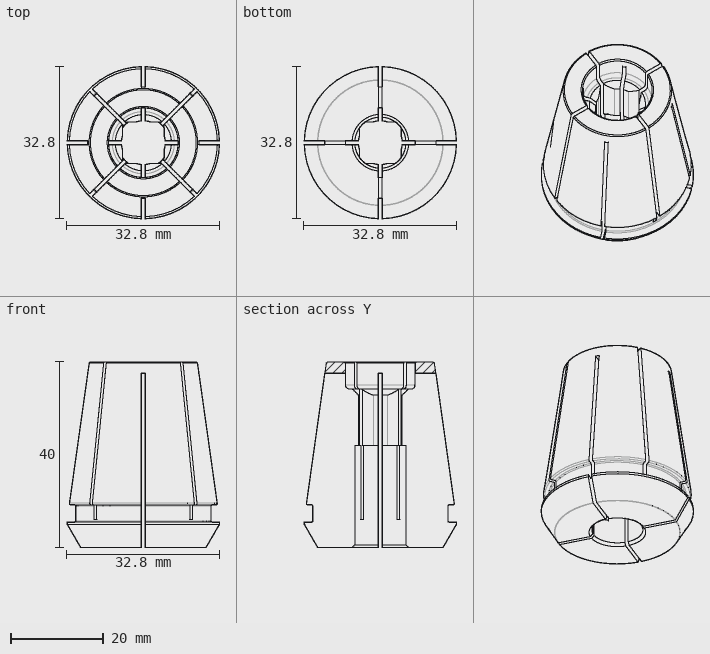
import cadquery as cq
import math

LENGTH = 40.0

FLANGE_RADIUS = 16.4
FLANGE_TOP = 5.5
FLANGE_RIM_HEIGHT = 0.5
FLANGE_CONE_ANGLE = 30.0
FLANGE_BASE_FILLET = 0.1
FLANGE_CONE_HEIGHT = FLANGE_TOP - FLANGE_RIM_HEIGHT
FLANGE_BASE_RADIUS = FLANGE_RADIUS - FLANGE_CONE_HEIGHT * math.tan(math.radians(FLANGE_CONE_ANGLE))

GROOVE_RADIUS = 14.6
GROOVE_TOP = 9.2
GROOVE_FILLET = 0.25

TAPER_ANGLE = 8.0
TAPER_TOP_RADIUS = 11.65
TAPER_BASE_RADIUS = TAPER_TOP_RADIUS + (LENGTH - GROOVE_TOP) * math.tan(math.radians(TAPER_ANGLE))
TAPER_BASE_FILLET = 0.3
TOP_EDGE_CHAMFER = 0.25

RELIEF_RADIUS = 7.5
RELIEF_FLOOR = 34.15
RELIEF_FLOOR_FILLET = 0.8
RELIEF_MOUTH_CHAMFER = 0.3

LEAD_RADIUS = 6.05
LEAD_POINT_ANGLE = 90.0
LEAD_DEPTH = LEAD_RADIUS / math.tan(math.radians(LEAD_POINT_ANGLE / 2))

SHANK_RADIUS = 5.5
SHANK_DEPTH = 22.0
SHANK_MOUTH_CHAMFER = 0.6
SQUARE_SIZE = 8.9
SQUARE_PILOT_RADIUS = 4.7

SLOT_WIDTH = 0.8
AXIS_SLOT_ANGLES = (0, 90)
AXIS_SLOT_TOP = 37.5
DIAGONAL_SLOT_ANGLES = (45, 135)
DIAGONAL_SLOT_BOTTOM = 6.0
SLOT_OVERRUN = 5.0
SLOT_LENGTH = 2 * (FLANGE_RADIUS + SLOT_OVERRUN)


def cylinder(radius, bottom, top):
    return cq.Workplane("XY").workplane(offset=bottom).circle(radius).extrude(top - bottom)


def flange():
    outline = (
        cq.Workplane("XZ")
        .moveTo(0, 0)
        .lineTo(FLANGE_BASE_RADIUS, 0)
        .lineTo(FLANGE_RADIUS, FLANGE_CONE_HEIGHT)
        .lineTo(FLANGE_RADIUS, FLANGE_TOP)
        .lineTo(0, FLANGE_TOP)
        .close()
    )
    disc = outline.revolve(360, (0, 0), (0, 1))
    return disc.faces("<Z").edges().fillet(FLANGE_BASE_FILLET)


def taper():
    outline = (
        cq.Workplane("XZ")
        .moveTo(0, GROOVE_TOP)
        .lineTo(TAPER_BASE_RADIUS, GROOVE_TOP)
        .lineTo(TAPER_TOP_RADIUS, LENGTH)
        .lineTo(0, LENGTH)
        .close()
    )
    cone = outline.revolve(360, (0, 0), (0, 1))
    cone = cone.faces("<Z").edges().fillet(TAPER_BASE_FILLET)
    return cone.faces(">Z").edges().chamfer(TOP_EDGE_CHAMFER)


def nut_groove_core():
    core = cylinder(GROOVE_RADIUS, FLANGE_TOP, GROOVE_TOP)
    for wall_height, direction in ((FLANGE_TOP, 1), (GROOVE_TOP, -1)):
        core = core.union(groove_corner(wall_height, direction))
    return core


def groove_corner(wall_height, direction):
    """Concave fillet ring joining the groove floor to the wall at wall_height."""
    tangent_height = wall_height + direction * GROOVE_FILLET
    wall_radius = GROOVE_RADIUS + GROOVE_FILLET
    arc_reach = GROOVE_FILLET * (1 - math.sqrt(0.5))
    outline = (
        cq.Workplane("XZ")
        .moveTo(0, wall_height)
        .lineTo(wall_radius, wall_height)
        .threePointArc(
            (GROOVE_RADIUS + arc_reach, wall_height + direction * arc_reach),
            (GROOVE_RADIUS, tangent_height),
        )
        .lineTo(0, tangent_height)
        .close()
    )
    return outline.revolve(360, (0, 0), (0, 1))


def body():
    return flange().union(nut_groove_core()).union(taper())


def relief_bore():
    bore = cylinder(RELIEF_RADIUS, RELIEF_FLOOR, LENGTH)
    bore = bore.faces("<Z").edges().fillet(RELIEF_FLOOR_FILLET)
    mouth = cq.Workplane(
        cq.Solid.makeCone(
            RELIEF_RADIUS,
            RELIEF_RADIUS + RELIEF_MOUTH_CHAMFER,
            RELIEF_MOUTH_CHAMFER,
            cq.Vector(0, 0, LENGTH - RELIEF_MOUTH_CHAMFER),
        )
    )
    return bore.union(mouth)


def square_lead():
    point = cq.Vector(0, 0, RELIEF_FLOOR - LEAD_DEPTH)
    return cq.Workplane(cq.Solid.makeCone(0, LEAD_RADIUS, LEAD_DEPTH, point))


def square_drive():
    height = RELIEF_FLOOR - SHANK_DEPTH
    square = cq.Workplane("XY").workplane(offset=SHANK_DEPTH).rect(SQUARE_SIZE, SQUARE_SIZE).extrude(height)
    return square.union(cylinder(SQUARE_PILOT_RADIUS, SHANK_DEPTH, RELIEF_FLOOR))


def shank_bore():
    bore = cylinder(SHANK_RADIUS, 0, SHANK_DEPTH)
    mouth = cq.Workplane(
        cq.Solid.makeCone(SHANK_RADIUS + SHANK_MOUTH_CHAMFER, SHANK_RADIUS, SHANK_MOUTH_CHAMFER)
    )
    return bore.union(mouth)


def slot(angle, bottom, top):
    blade = cq.Workplane("XY").workplane(offset=bottom).rect(SLOT_LENGTH, SLOT_WIDTH).extrude(top - bottom)
    return blade.rotate((0, 0, 0), (0, 0, 1), angle)


result = body()
for bore in (relief_bore(), square_lead(), square_drive(), shank_bore()):
    result = result.cut(bore)
for angle in AXIS_SLOT_ANGLES:
    result = result.cut(slot(angle, 0, AXIS_SLOT_TOP))
for angle in DIAGONAL_SLOT_ANGLES:
    result = result.cut(slot(angle, DIAGONAL_SLOT_BOTTOM, LENGTH))